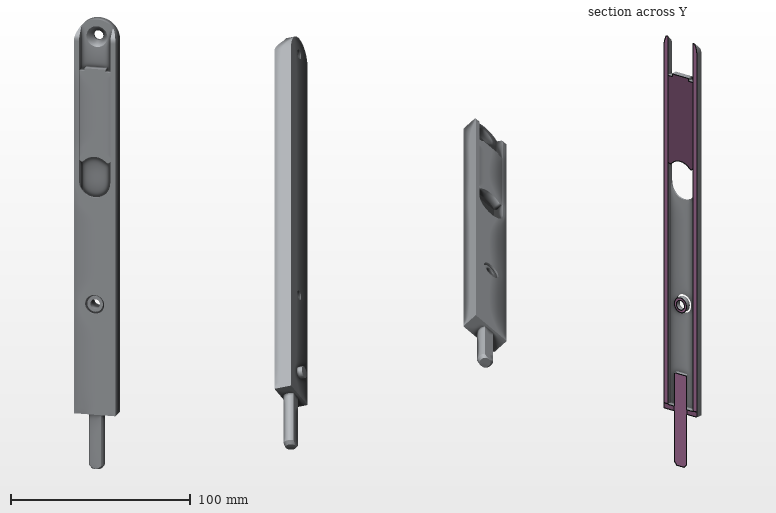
import cadquery as cq
import math

WIDTH = 24.0
HOUSING_DEPTH = 10.0
TOP_Z = 260.0
ROD_EXPOSED = 32.0
CAP_HEIGHT = 3.0
CAP_BOTTOM_Z = ROD_EXPOSED
HOUSING_BOTTOM_Z = CAP_BOTTOM_Z + CAP_HEIGHT
FRONT_Y = -HOUSING_DEPTH
END_RADIUS = WIDTH / 2
END_CENTRE_Z = TOP_Z - END_RADIUS

SLOT_WIDTH = 18.0
SLOT_DEPTH = 5.0
SLOT_BOTTOM_Z = TOP_Z - 102.0
SLOT_RADIUS = SLOT_WIDTH / 2
SLOT_FLOOR_Y = FRONT_Y + SLOT_DEPTH

FRONT_WALL = 1.0
CAVITY_FLOOR_DEPTH = 7.0
CAVITY_DEPTH = CAVITY_FLOOR_DEPTH - FRONT_WALL

WALL_BEVEL_Z = TOP_Z - 9.8
WALL_BEVEL_BLEND = 4.8
BEVEL_ANGLE = 45.0

SCREW_DIAMETER = 5.5
COUNTERSINK_DIAMETER = 12.0
COUNTERSINK_ANGLE = 90.0
UPPER_HOLE_Z = TOP_Z - 10.0
LOWER_HOLE_Z = CAP_BOTTOM_Z + 64.0
LOWER_OPENING_DIAMETER = 11.0
POST_DIAMETER = 9.0

BOSS_DIAMETER = 6.8
BOSS_HEIGHT = 3.0
BOSS_Z = CAP_BOTTOM_Z + 14.2

SLIDER_TOP_Z = TOP_Z - 27.5
SLIDER_TONGUE_WIDTH = 12.0
SLIDER_SHOULDER_DROP = 1.6
SLIDER_TIP_RADIUS = 1.5
SLIDER_HOLLOW_RADIUS = 9.0
SLIDER_RECESS = 0.4
SLIDER_HOLLOW_TOP_Z = TOP_Z - 78.5

ROD_DIAMETER = 9.0
ROD_RADIUS = ROD_DIAMETER / 2
ROD_Y = -5.1
ROD_THICKNESS = 6.2
ROD_TIP_LENGTH = 2.0
ROD_TIP_INSET = 1.5
ROD_LENGTH_INSIDE = 20.0
ROD_TOP_Z = HOUSING_BOTTOM_Z + ROD_LENGTH_INSIDE


def front_sketch(y):
    """Workplane at the given y, drawn in world X and Z, that extrudes toward the front (-Y)."""
    return cq.Workplane("XZ", origin=(0, y, 0))


def front_cylinder(diameter, z, back_y, front_y):
    return front_sketch(back_y).center(0, z).circle(diameter / 2).extrude(back_y - front_y)


def slider_outline(y):
    """Slider shape: a tongue above two shoulders, and a hollow lower end between rounded tips."""
    half = SLOT_WIDTH / 2
    tongue_x = SLIDER_TONGUE_WIDTH / 2
    shoulder_z = SLIDER_TOP_Z - SLIDER_SHOULDER_DROP
    r = SLIDER_TIP_RADIUS
    tip_x = half - r

    hollow_z = SLIDER_HOLLOW_TOP_Z - SLIDER_HOLLOW_RADIUS
    tip_z = hollow_z + math.sqrt((SLIDER_HOLLOW_RADIUS + r) ** 2 - tip_x**2)
    reach = SLIDER_HOLLOW_RADIUS / (SLIDER_HOLLOW_RADIUS + r)
    touch_x = tip_x * reach
    touch_z = hollow_z + (tip_z - hollow_z) * reach

    return (
        front_sketch(y)
        .moveTo(-tongue_x, SLIDER_TOP_Z)
        .lineTo(tongue_x, SLIDER_TOP_Z)
        .lineTo(tongue_x, shoulder_z)
        .lineTo(half, shoulder_z)
        .lineTo(half, tip_z)
        .threePointArc((tip_x, tip_z - r), (touch_x, touch_z))
        .threePointArc((0, SLIDER_HOLLOW_TOP_Z), (-touch_x, touch_z))
        .threePointArc((-tip_x, tip_z - r), (-half, tip_z))
        .lineTo(-half, shoulder_z)
        .lineTo(-tongue_x, shoulder_z)
        .close()
    )


def cavity():
    """Channel inside the housing, behind the front wall, open at the bottom where the cap closes it."""
    height = SLIDER_HOLLOW_TOP_Z - HOUSING_BOTTOM_Z
    return cq.Workplane("XY", origin=(0, FRONT_Y + FRONT_WALL, HOUSING_BOTTOM_Z)).box(
        SLOT_WIDTH, CAVITY_DEPTH, height, centered=(True, False, False)
    )


def slot():
    half = SLOT_WIDTH / 2
    return (
        front_sketch(SLOT_FLOOR_Y)
        .moveTo(-half, TOP_Z)
        .lineTo(half, TOP_Z)
        .lineTo(half, SLOT_BOTTOM_Z + SLOT_RADIUS)
        .threePointArc((0, SLOT_BOTTOM_Z), (-half, SLOT_BOTTOM_Z + SLOT_RADIUS))
        .close()
        .extrude(SLOT_DEPTH)
    )


def wall_bevel():
    """Wedge that bevels the slot walls back to the slot floor, blended smoothly into the front."""
    tangent = WALL_BEVEL_BLEND * math.tan(math.radians(BEVEL_ANGLE / 2))
    blend_start_z = WALL_BEVEL_Z - tangent
    blend_mid = (
        FRONT_Y + WALL_BEVEL_BLEND * (1 - math.cos(math.radians(BEVEL_ANGLE / 2))),
        blend_start_z + WALL_BEVEL_BLEND * math.sin(math.radians(BEVEL_ANGLE / 2)),
    )
    blend_end = (
        FRONT_Y + WALL_BEVEL_BLEND * (1 - math.cos(math.radians(BEVEL_ANGLE))),
        blend_start_z + WALL_BEVEL_BLEND * math.sin(math.radians(BEVEL_ANGLE)),
    )
    return (
        cq.Workplane("YZ", origin=(-WIDTH / 2, 0, 0))
        .moveTo(FRONT_Y, blend_start_z)
        .threePointArc(blend_mid, blend_end)
        .lineTo(SLOT_FLOOR_Y, WALL_BEVEL_Z + SLOT_DEPTH / math.tan(math.radians(BEVEL_ANGLE)))
        .lineTo(SLOT_FLOOR_Y, TOP_Z)
        .lineTo(FRONT_Y, TOP_Z)
        .close()
        .extrude(WIDTH)
    )


def upper_screw_hole():
    """Through hole with a countersink that opens on the slot floor."""
    rim = COUNTERSINK_DIAMETER / 2
    hole = SCREW_DIAMETER / 2
    cone_depth = (rim - hole) / math.tan(math.radians(COUNTERSINK_ANGLE / 2))
    return (
        cq.Workplane("XY", origin=(0, 0, UPPER_HOLE_Z))
        .moveTo(0, SLOT_FLOOR_Y)
        .lineTo(rim, SLOT_FLOOR_Y)
        .lineTo(hole, SLOT_FLOOR_Y + cone_depth)
        .lineTo(hole, 0)
        .lineTo(0, 0)
        .close()
        .revolve(360, (0, 0, 0), (0, 1, 0))
    )


def make_rod():
    """Rod with a chamfered tip and two flats; its upper end stands inside the housing."""
    rod = (
        cq.Workplane("XY")
        .center(0, ROD_Y)
        .circle(ROD_RADIUS)
        .extrude(ROD_TOP_Z)
        .faces("<Z")
        .chamfer(ROD_TIP_LENGTH, ROD_TIP_INSET)
    )
    between_flats = cq.Workplane("XY").box(ROD_DIAMETER, ROD_THICKNESS, ROD_TOP_Z, centered=(True, True, False))
    return rod.intersect(between_flats.translate((0, ROD_Y, 0)))


def make_cap(rod):
    """End plate that the rod passes through."""
    plate = cq.Workplane("XY", origin=(0, FRONT_Y, CAP_BOTTOM_Z)).box(
        WIDTH, HOUSING_DEPTH, CAP_HEIGHT, centered=(True, False, False)
    )
    return plate.cut(rod)


def make_housing(rod):
    """Bar with slot, cavity, screw holes and rear boss; the rod lies in a groove in the cavity floor."""
    body = (
        front_sketch(0)
        .moveTo(-WIDTH / 2, HOUSING_BOTTOM_Z)
        .lineTo(WIDTH / 2, HOUSING_BOTTOM_Z)
        .lineTo(WIDTH / 2, END_CENTRE_Z)
        .threePointArc((0, TOP_Z), (-WIDTH / 2, END_CENTRE_Z))
        .close()
        .extrude(HOUSING_DEPTH)
    )
    body = body.cut(slot()).cut(cavity()).cut(wall_bevel()).cut(upper_screw_hole())
    body = body.cut(front_cylinder(LOWER_OPENING_DIAMETER, LOWER_HOLE_Z, FRONT_Y + FRONT_WALL, FRONT_Y))
    body = body.union(front_cylinder(POST_DIAMETER, LOWER_HOLE_Z, 0, FRONT_Y + FRONT_WALL))
    body = body.cut(front_cylinder(SCREW_DIAMETER, LOWER_HOLE_Z, 0, FRONT_Y))
    body = body.union(front_cylinder(BOSS_DIAMETER, BOSS_Z, BOSS_HEIGHT, 0))
    return body.cut(rod)


def make_slider():
    """Slider resting on the slot floor, its front a little below the housing front."""
    return slider_outline(SLOT_FLOOR_Y).extrude(SLOT_DEPTH - SLIDER_RECESS)


rod = make_rod()
cap = make_cap(rod)
housing = make_housing(rod)
slider = make_slider()

result = cq.Compound.makeCompound([housing.val(), cap.val(), slider.val(), rod.val()])